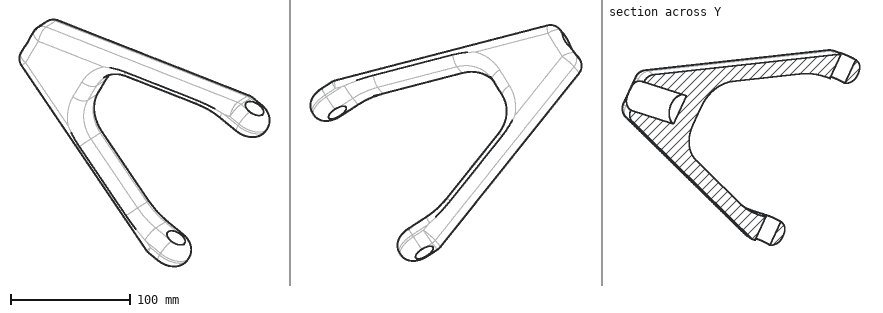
import cadquery as cq
import math


thickness = 36.0
edge_radius = 10.0
tilt_angle = 30.0
arm_angle = 20.0

back_half_width = 19.5
pad_outer_offset = 86.67
tip_x = 214.43

arm_thickness = 14.7
pad_thickness = 22.0
throat_x = 70.6
throat_radius = 30.0
pad_bend_radius = 66.0

socket_diameter = 26.0
socket_depth = 50.0
pad_hole_diameter = 17.0

slope = math.tan(math.radians(arm_angle))
end_radius = thickness / 2
pad_center_x = tip_x - end_radius
outer_bend_x = (pad_outer_offset - back_half_width) / slope
inner_line_start = back_half_width - arm_thickness / math.cos(math.radians(arm_angle))
throat_half_width = inner_line_start + throat_x * slope
pad_inner_offset = pad_outer_offset - pad_thickness
inner_bend_x = (pad_inner_offset - inner_line_start) / slope
blank_margin = 30.0
blank_half_width = pad_outer_offset + blank_margin
pick_margin = 1.0


def extrude_outline(points):
    """Closed straight-sided outline extruded symmetrically about the mid-plane."""
    return cq.Workplane("XY").polyline(points).close().extrude(thickness / 2, both=True)


def rounded_end_stock():
    """Stock that ends in a full half-round across the plate thickness at the pad tips."""
    return (
        cq.Workplane("XZ")
        .moveTo(-blank_margin, -end_radius)
        .lineTo(pad_center_x, -end_radius)
        .threePointArc((tip_x, 0), (pad_center_x, end_radius))
        .lineTo(-blank_margin, end_radius)
        .close()
        .extrude(blank_half_width, both=True)
    )


def outer_form():
    """Solid wedge bounded by the back, arm and pad outer faces, with all their edges rounded."""
    form = extrude_outline([
        (0, -back_half_width),
        (outer_bend_x, -pad_outer_offset),
        (tip_x, -pad_outer_offset),
        (tip_x, pad_outer_offset),
        (outer_bend_x, pad_outer_offset),
        (0, back_half_width),
    ]).intersect(rounded_end_stock())
    seams = cq.selectors.BoxSelector(
        (pad_center_x - pick_margin, -pick_margin, -thickness),
        (pad_center_x + pick_margin, pick_margin, thickness),
    )
    return form.edges(cq.selectors.InverseSelector(seams)).fillet(edge_radius)


def throat_opening():
    """Space between the arms, with rounded throat corners and arm-to-pad bends."""
    opening = extrude_outline([
        (throat_x, -throat_half_width),
        (inner_bend_x, -pad_inner_offset),
        (tip_x, -pad_inner_offset),
        (tip_x, pad_inner_offset),
        (inner_bend_x, pad_inner_offset),
        (throat_x, throat_half_width),
    ])
    opening = opening.edges("|Z").edges("<X").fillet(throat_radius)
    bends = cq.selectors.BoxSelector(
        (inner_bend_x - pick_margin, -blank_half_width, -pick_margin),
        (inner_bend_x + pick_margin, blank_half_width, pick_margin),
    )
    return opening.edges("|Z").edges(bends).fillet(pad_bend_radius)


def inner_form():
    """Oversized stock around the throat opening, with the edges of the opening rounded."""
    form = rounded_end_stock().cut(throat_opening())
    opening_edges = cq.selectors.BoxSelector(
        (throat_x - pick_margin, -pad_inner_offset - pick_margin, -thickness),
        (tip_x + pick_margin, pad_inner_offset + pick_margin, thickness),
    )
    return form.edges(opening_edges).edges("not |Z").fillet(edge_radius)


def back_socket():
    """Blind round socket entering the back face along the symmetry axis."""
    return cq.Workplane("YZ").circle(socket_diameter / 2).extrude(socket_depth)


def pad_holes():
    """Holes through both pads, concentric with their half-round ends."""
    return (
        cq.Workplane("XZ")
        .center(pad_center_x, 0)
        .circle(pad_hole_diameter / 2)
        .extrude(blank_half_width, both=True)
    )


bracket = outer_form().intersect(inner_form()).cut(back_socket()).cut(pad_holes())

upright = bracket.rotate((0, 0, 0), (1, 0, 0), 90)
result = upright.rotate((0, 0, 0), (0, 1, 0), tilt_angle)